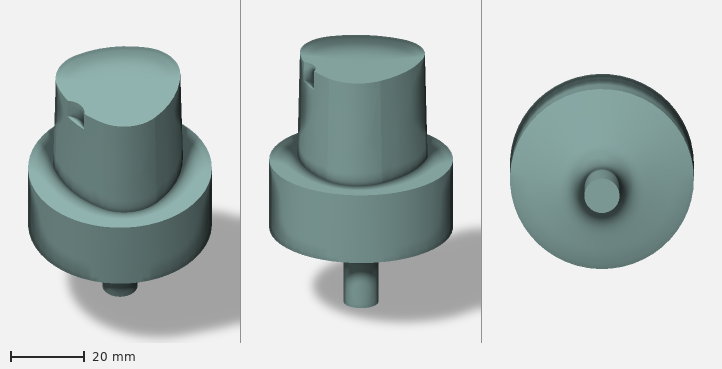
import cadquery as cq
import math

total_height = 72.0
knob_height = 30.0
collar_height = 20.0
knob_base_z = total_height - knob_height
collar_base_z = knob_base_z - collar_height

collar_radius = 50.0 / 2
pin_radius = 9.6 / 2
cone_angle = math.radians(15)
neck_fillet = 5.0

lobe_centre_distance = 6.8
lobe_radius = 11.15
flank_radius = 27.5
taper_growth = 0.7
lobe_count = 3

notch_radius = 4.75
notch_height = 5.5
notch_depth = 1.7


def polar(radius, angle, centre=(0, 0)):
    return (centre[0] + radius * math.cos(angle), centre[1] + radius * math.sin(angle))


half_pitch = math.pi / lobe_count
across = lobe_centre_distance * math.sin(half_pitch)
along = lobe_centre_distance * math.cos(half_pitch)
flank_centre_distance = math.sqrt((flank_radius - lobe_radius) ** 2 - across**2) - along
flank_distance = flank_radius - flank_centre_distance
flank_half_angle = math.asin(across / (flank_radius - lobe_radius))
lobe_half_angle = half_pitch - flank_half_angle


def knob_outline(z, growth):
    """Closed outline of tangent lobe and flank arcs, the first lobe towards +Y."""
    radius = lobe_radius + growth
    first_lobe = math.pi / 2
    first_centre = polar(lobe_centre_distance, first_lobe)
    start = polar(radius, first_lobe - lobe_half_angle, first_centre)
    outline = cq.Workplane("XY").workplane(offset=z).moveTo(*start)
    for index in range(lobe_count):
        lobe = first_lobe + 2 * half_pitch * index
        next_lobe = lobe + 2 * half_pitch
        centre = polar(lobe_centre_distance, lobe)
        next_centre = polar(lobe_centre_distance, next_lobe)
        lobe_crest = polar(lobe_centre_distance + radius, lobe)
        lobe_end = polar(radius, lobe + lobe_half_angle, centre)
        flank_middle = polar(flank_distance + growth, lobe + half_pitch)
        flank_end = polar(radius, next_lobe - lobe_half_angle, next_centre)
        outline = outline.threePointArc(lobe_crest, lobe_end)
        outline = outline.threePointArc(flank_middle, flank_end)
    return outline.close().wire().val()


def make_knob():
    base = knob_outline(knob_base_z, taper_growth)
    top = knob_outline(total_height, 0)
    return cq.Workplane(cq.Solid.makeLoft([base, top], True))


def make_round_body():
    """Collar, conical underside, filleted neck and pin as one revolved profile."""
    cone_tip_z = collar_base_z - (collar_radius - pin_radius) * math.tan(cone_angle)
    turn = math.pi / 2 - cone_angle
    fillet_base_z = cone_tip_z - neck_fillet * math.tan(turn / 2)
    fillet_centre = (pin_radius + neck_fillet, fillet_base_z)
    fillet_middle = polar(neck_fillet, math.pi - turn / 2, fillet_centre)
    fillet_end = polar(neck_fillet, math.pi - turn, fillet_centre)
    return (
        cq.Workplane("XZ")
        .lineTo(pin_radius, 0)
        .lineTo(pin_radius, fillet_base_z)
        .threePointArc(fillet_middle, fillet_end)
        .lineTo(collar_radius, collar_base_z)
        .lineTo(collar_radius, knob_base_z)
        .lineTo(0, knob_base_z)
        .close()
        .revolve(360, (0, 0), (0, 1))
    )


def make_notch():
    centre_y = -flank_distance + notch_depth - notch_radius
    return (
        cq.Workplane("XY")
        .workplane(offset=total_height - notch_height)
        .center(0, centre_y)
        .circle(notch_radius)
        .extrude(notch_height)
    )


result = make_round_body().union(make_knob()).cut(make_notch())